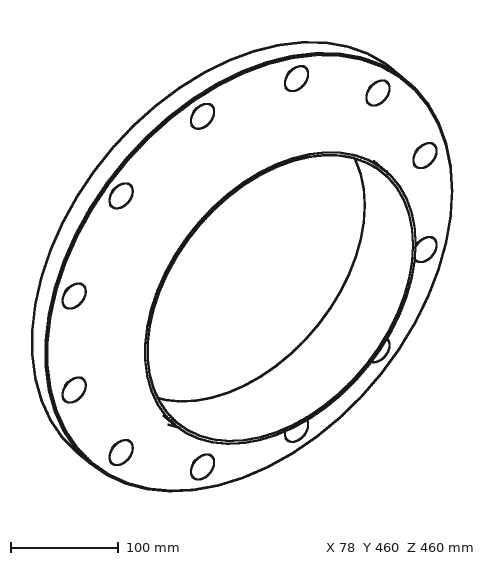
import cadquery as cq

total_length = 78.0
flange_radius = 460.0 / 2
bore_radius = 300.0 / 2
neck_radius = 306.0 / 2

raised_height = 4.0
raised_face_radius = 188.5
raised_base_radius = 190.5

flange_back = 28.5
rim_chamfer = 1.5
hub_base_radius = 163.5
hub_end = 61.5
hub_fillet = 10.5
match_tolerance = 0.05

bolt_count = 12
bolt_hole_diameter = 26.0
bolt_circle_radius = 410.5 / 2
bolt_pitch = 360 / bolt_count


def flange_body():
    """Revolve the half section, drawn as (X, radius), about the X axis."""
    profile = [
        (0, bore_radius),
        (0, raised_face_radius),
        (raised_height, raised_base_radius),
        (raised_height, flange_radius - rim_chamfer),
        (raised_height + rim_chamfer, flange_radius),
        (flange_back - rim_chamfer, flange_radius),
        (flange_back, flange_radius - rim_chamfer),
        (flange_back, hub_base_radius),
        (hub_end, neck_radius),
        (total_length, neck_radius),
        (total_length, bore_radius),
    ]
    return cq.Workplane("XY").polyline(profile).close().revolve(360, (0, 0, 0), (1, 0, 0))


def round_hub(body):
    """Fillet the two circular edges at the large and small ends of the tapered hub."""
    hub_ends = [(flange_back, hub_base_radius), (hub_end, neck_radius)]

    def is_hub_end(edge):
        x = edge.Center().x
        radius = edge.radius()
        return any(
            abs(x - end_x) + abs(radius - end_radius) < match_tolerance
            for end_x, end_radius in hub_ends
        )

    circles = body.edges("%CIRCLE")
    return circles.filter(is_hub_end).fillet(hub_fillet)


def bolt_holes():
    """Cylinders on the bolt circle that pass through the flange plate."""
    return (
        cq.Workplane("YZ")
        .polarArray(bolt_circle_radius, bolt_pitch / 2, 360, bolt_count)
        .circle(bolt_hole_diameter / 2)
        .extrude(flange_back)
    )


result = round_hub(flange_body()).cut(bolt_holes())